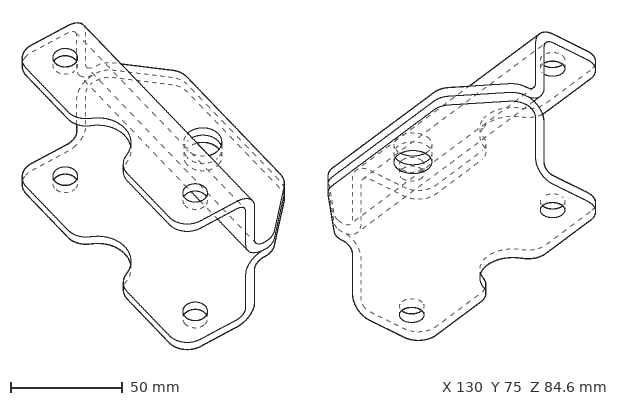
import cadquery as cq

width = 130.0
total_depth = 75.0
total_height = 84.6
thickness = 5.0

bend_inner_radius = thickness
bend_outer_radius = bend_inner_radius + thickness

bracket_height = total_height / 2
front_y = -total_depth / 2
back_y = total_depth / 2

corner_radius = 10.0
back_chamfer = 25.0

notch_radius = 15.0
notch_blend_radius = 10.0

mount_hole_diameter = 11.0
mount_hole_spacing = 100.0
mount_hole_inset = 18.0
joint_hole_diameter = 17.0
joint_hole_inset = 17.0


def bent_sheet():
    """Full-width Z-profile: back flange on Z = 0, upright web, front flange at the top."""
    web_front = -thickness / 2
    web_back = thickness / 2
    top = bracket_height
    return (
        cq.Workplane("YZ")
        .moveTo(back_y, 0)
        .lineTo(web_front + bend_outer_radius, 0)
        .radiusArc((web_front, bend_outer_radius), bend_outer_radius)
        .lineTo(web_front, top - bend_outer_radius)
        .radiusArc((web_front - bend_inner_radius, top - thickness), -bend_inner_radius)
        .lineTo(front_y, top - thickness)
        .lineTo(front_y, top)
        .lineTo(web_back - bend_outer_radius, top)
        .radiusArc((web_back, top - bend_outer_radius), bend_outer_radius)
        .lineTo(web_back, bend_outer_radius)
        .radiusArc((web_back + bend_inner_radius, thickness), -bend_inner_radius)
        .lineTo(back_y, thickness)
        .close()
        .extrude(width / 2, both=True)
    )


def plan_outline():
    """Prism with the outline of the bracket seen from above, through its whole height."""
    half_width = width / 2
    outline = (
        cq.Workplane("XY")
        .polyline([
            (-half_width, front_y),
            (half_width, front_y),
            (half_width, back_y - back_chamfer),
            (half_width - back_chamfer, back_y),
            (-half_width + back_chamfer, back_y),
            (-half_width, back_y - back_chamfer),
        ])
        .close()
        .extrude(bracket_height)
        .edges("|Z")
        .fillet(corner_radius)
    )
    notch = cq.Workplane("XY").center(0, front_y).circle(notch_radius).extrude(bracket_height)
    notched = outline.cut(notch)
    notch_corners = cq.selectors.BoxSelector(
        (-notch_radius - thickness, front_y - thickness, 0),
        (notch_radius + thickness, front_y + thickness, bracket_height),
    )
    return notched.edges("|Z").edges(notch_corners).fillet(notch_blend_radius)


def hole_cutters():
    """Two mounting holes through the front flange and one joint hole through the back flange."""
    mount_y = front_y + mount_hole_inset
    mount_holes = (
        cq.Workplane("XY")
        .pushPoints([(side * mount_hole_spacing / 2, mount_y) for side in (-1, 1)])
        .circle(mount_hole_diameter / 2)
        .extrude(bracket_height)
    )
    joint_hole = (
        cq.Workplane("XY")
        .center(0, back_y - joint_hole_inset)
        .circle(joint_hole_diameter / 2)
        .extrude(bracket_height)
    )
    return mount_holes.add(joint_hole).combine()


def bracket(direction):
    """One bracket rising (direction 1) or hanging (direction -1) from the joint plane Z = 0."""
    body = bent_sheet().intersect(plan_outline()).cut(hole_cutters())
    if direction < 0:
        body = body.mirror("XY")
    return body


brackets = [bracket(direction).solids().val() for direction in (1, -1)]

result = cq.Compound.makeCompound(brackets)